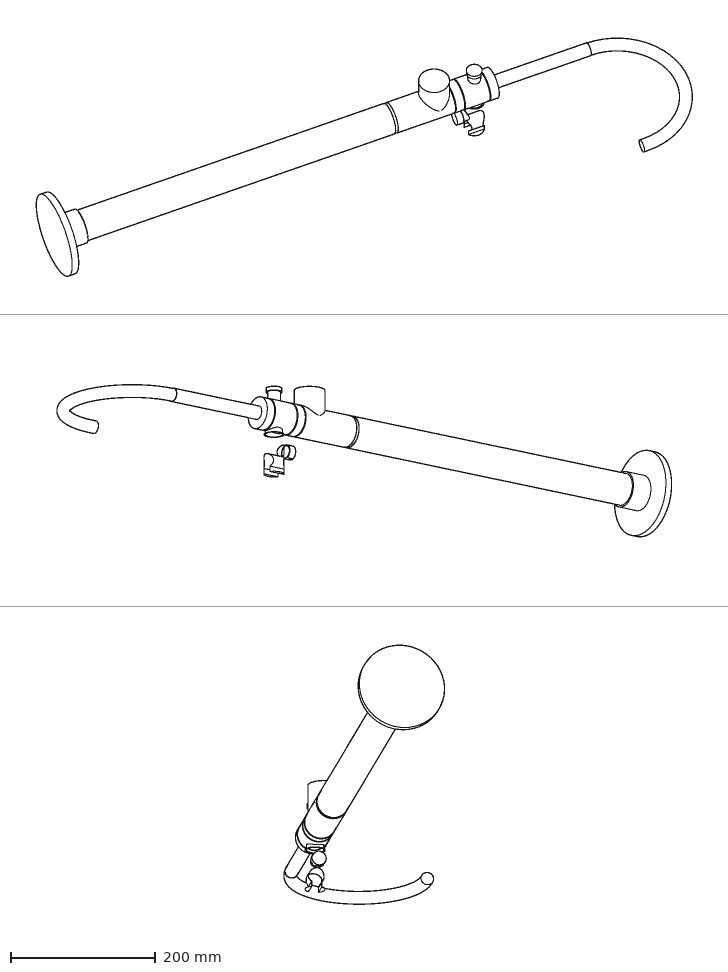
import cadquery as cq


flange_diameter = 120.0
flange_thickness = 10.0
collar_diameter = 50.0
collar_top = 40.0
column_diameter = 45.0
column_top = 666.0
joint_groove_depth = 0.5
wide_joint_width = 4.0
wide_joint_center = 510.5
fine_joint_width = 1.0
fine_joint_centers = (600.0, 614.0, 652.5)

overall_length = 915.7
spout_reach = 199.0
riser_diameter = 19.0
spout_diameter = 18.0
bend_radius = (spout_reach - spout_diameter / 2) / 2
bend_center_y = overall_length - bend_radius - spout_diameter / 2
spout_tip_length = 6.0

mixer_knob_diameter = 43.0
mixer_knob_y = 577.0
mixer_knob_top = 47.5

diverter_y = 638.0
diverter_neck_diameter = 18.0
diverter_head_diameter = 22.0
diverter_head_height = 5.5
diverter_top = 40.0

holder_y = diverter_y
holder_neck_diameter = 24.0
holder_diameter = 28.0
holder_top = -26.5
holder_bottom = -83.6
cradle_bore_diameter = 22.0
cradle_bore_z = -67.5
cradle_mouth_width = 14.0

outlet_z = -48.0
outlet_neck_diameter = 17.0
outlet_diameter = 20.0
outlet_end_y = 608.0
outlet_head_length = 10.0


def cylinder_along_y(diameter, y_start, y_end, x=0.0, z=0.0):
    """Solid cylinder parallel to Y between two Y positions."""
    return cq.Workplane(
        cq.Solid.makeCylinder(diameter / 2, y_end - y_start, cq.Vector(x, y_start, z), cq.Vector(0, 1, 0))
    )


def cylinder_along_z(diameter, y, z_start, z_end):
    """Solid cylinder parallel to Z, centred on the column plane X = 0."""
    return cq.Workplane(
        cq.Solid.makeCylinder(diameter / 2, z_end - z_start, cq.Vector(0, y, z_start), cq.Vector(0, 0, 1))
    )


def joint_groove(center_y, width):
    """Ring that cuts a shallow groove around the column."""
    y_start = center_y - width / 2
    y_end = center_y + width / 2
    core_diameter = column_diameter - 2 * joint_groove_depth
    core = cylinder_along_y(core_diameter, y_start, y_end)
    return cylinder_along_y(collar_diameter, y_start, y_end).cut(core)


def make_column():
    """Floor flange, collar and grooved column."""
    column = cylinder_along_y(flange_diameter, 0, flange_thickness)
    column = column.union(cylinder_along_y(collar_diameter, 0, collar_top))
    column = column.union(cylinder_along_y(column_diameter, 0, column_top))
    column = column.cut(joint_groove(wide_joint_center, wide_joint_width))
    for center_y in fine_joint_centers:
        column = column.cut(joint_groove(center_y, fine_joint_width))
    return column


def make_spout():
    """Straight riser followed by a half-circle bend and a short straight tip."""
    riser = cylinder_along_y(riser_diameter, column_top, bend_center_y)
    path = (
        cq.Workplane("XY")
        .moveTo(0, bend_center_y)
        .threePointArc((bend_radius, bend_center_y + bend_radius), (2 * bend_radius, bend_center_y))
        .lineTo(2 * bend_radius, bend_center_y - spout_tip_length)
    )
    bend = cq.Workplane("XZ", origin=(0, bend_center_y, 0)).circle(spout_diameter / 2).sweep(path)
    return riser.union(bend)


def make_diverter_knob():
    """Narrow neck carrying a wider flat head."""
    neck = cylinder_along_z(diverter_neck_diameter, diverter_y, 0, diverter_top)
    head_start = diverter_top - diverter_head_height
    return neck.union(cylinder_along_z(diverter_head_diameter, diverter_y, head_start, diverter_top))


def make_outlet():
    """Hose outlet with a narrow neck and a wider end."""
    neck = cylinder_along_y(outlet_neck_diameter, outlet_end_y, holder_y, z=outlet_z)
    head_end_y = outlet_end_y + outlet_head_length
    return neck.union(cylinder_along_y(outlet_diameter, outlet_end_y, head_end_y, z=outlet_z))


def make_holder():
    """Round holder whose lower end is an open cradle along Y, with the hose outlet on its side."""
    holder = cylinder_along_z(holder_diameter, holder_y, holder_bottom, holder_top)
    holder = holder.union(cylinder_along_z(holder_neck_diameter, holder_y, holder_top, 0))
    holder = holder.union(make_outlet())
    cut_start = holder_y - holder_diameter
    cut_end = holder_y + holder_diameter
    bore = cylinder_along_y(cradle_bore_diameter, cut_start, cut_end, z=cradle_bore_z)
    mouth = cq.Workplane("XY").box(
        cradle_mouth_width,
        cut_end - cut_start,
        cradle_bore_z - holder_bottom,
        centered=(True, True, False),
    )
    return holder.cut(bore).cut(mouth.translate((0, holder_y, holder_bottom)))


mixer_knob = cylinder_along_z(mixer_knob_diameter, mixer_knob_y, 0, mixer_knob_top)

result = (
    make_column()
    .union(make_spout())
    .union(mixer_knob)
    .union(make_diverter_knob())
    .union(make_holder())
)